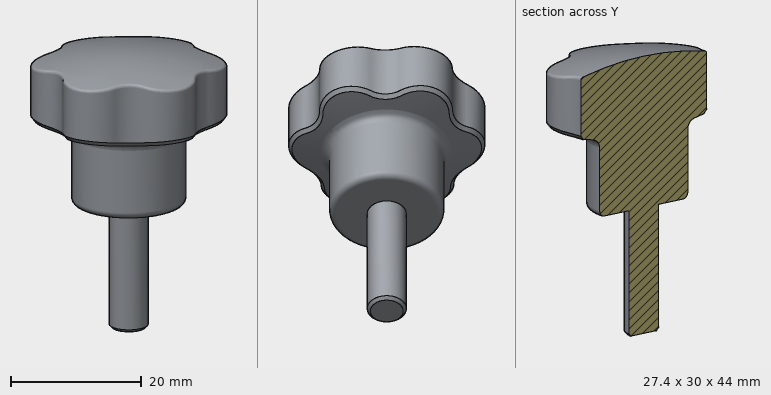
import cadquery as cq
import math

total_height = 44.0
lobe_count = 6

grip_radius = 15.0
lobe_radius = 5.32
hollow_radius = 4.6
lobe_offset = grip_radius - lobe_radius

dome_radius = 57.2
underside_apex_z = 31.5
top_rim_fillet = 0.5
underside_rim_chamfer = 0.55

collar_diameter = 17.5
collar_bottom_z = 19.95
collar_fillet = 1.0
neck_fillet = 1.5
stud_diameter = 6.0
stud_chamfer = 0.5


def polar(radius, angle):
    """Flat coordinates of a point given by its radius and angle."""
    return radius * math.cos(angle), radius * math.sin(angle)


def grip_outline():
    """Lobed closed outline with a lobe on the +Y axis."""
    half_pitch = math.pi / lobe_count
    center_gap = lobe_radius + hollow_radius
    hollow_offset = lobe_offset * math.cos(half_pitch) + math.sqrt(
        center_gap**2 - (lobe_offset * math.sin(half_pitch)) ** 2
    )
    hollow_bottom = hollow_offset - hollow_radius

    blend = lobe_radius / center_gap
    along = lobe_offset + blend * (hollow_offset * math.cos(half_pitch) - lobe_offset)
    across = blend * hollow_offset * math.sin(half_pitch)
    tangent_radius = math.hypot(along, across)
    tangent_angle = math.atan2(across, along)

    outline = cq.Workplane("XY").moveTo(*polar(tangent_radius, math.pi / 2 - tangent_angle))
    for index in range(lobe_count):
        lobe_angle = math.pi / 2 + 2 * half_pitch * index
        next_lobe_angle = lobe_angle + 2 * half_pitch
        outline = outline.threePointArc(
            polar(grip_radius, lobe_angle),
            polar(tangent_radius, lobe_angle + tangent_angle),
        ).threePointArc(
            polar(hollow_bottom, lobe_angle + half_pitch),
            polar(tangent_radius, next_lobe_angle - tangent_angle),
        )
    return outline.close()


def make_grip():
    """Lobed prism with a domed top and a bowl-shaped underside."""
    prism = grip_outline().extrude(total_height)
    ball = cq.Workplane("XY").sphere(dome_radius)
    top_ball = ball.translate((0, 0, total_height - dome_radius))
    underside_ball = ball.translate((0, 0, underside_apex_z + dome_radius))
    grip = prism.intersect(top_ball).intersect(underside_ball)
    grip = grip.faces(">Z").edges().fillet(top_rim_fillet)
    return grip.faces("<Z").edges().chamfer(underside_rim_chamfer)


def make_collar():
    """Round collar that reaches up to the underside of the grip."""
    collar_radius = collar_diameter / 2
    underside_rise = dome_radius - math.sqrt(dome_radius**2 - collar_radius**2)
    collar_top_z = underside_apex_z + 2 * underside_rise
    return (
        cq.Workplane("XY", origin=(0, 0, collar_bottom_z))
        .circle(collar_radius)
        .extrude(collar_top_z - collar_bottom_z)
        .faces("<Z")
        .edges()
        .fillet(collar_fillet)
    )


def make_stud():
    """Threadless stud with a chamfered tip."""
    return (
        cq.Workplane("XY")
        .circle(stud_diameter / 2)
        .extrude(underside_apex_z)
        .faces("<Z")
        .chamfer(stud_chamfer)
    )


def make_knob():
    body = make_grip().union(make_collar())
    neck_zone = cq.selectors.BoxSelector(
        (-0.45, -0.45, underside_apex_z),
        (0.45, 0.45, underside_apex_z + neck_fillet),
    )
    return body.edges(neck_zone).fillet(neck_fillet).union(make_stud())


result = make_knob()